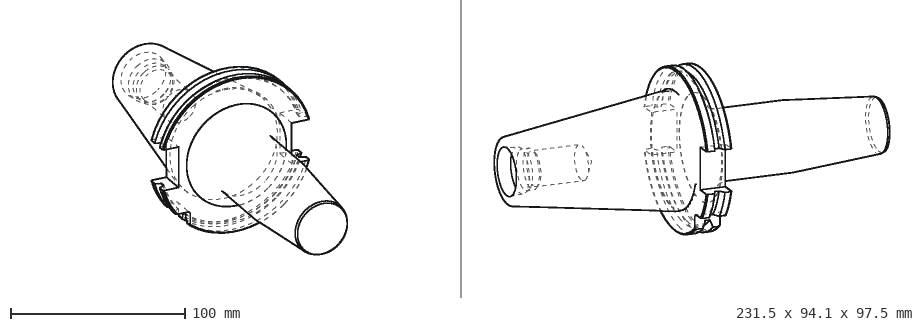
import cadquery as cq
import math

TOTAL_LENGTH = 231.5

GAUGE_X = 100.7
GAUGE_RADIUS = 34.7
TAPER_SLOPE = 7 / 48
TAIL_RADIUS = GAUGE_RADIUS - GAUGE_X * TAPER_SLOPE
TAIL_ROUNDING = 1.9
NECK_START = 102.1
NECK_RADIUS = 34.5
NECK_FILLET = 1.2

FLANGE_START = 104.7
FLANGE_END = 120.5
FLANGE_DIAMETER = 97.5
FLANGE_RADIUS = FLANGE_DIAMETER / 2
FLANGE_CHAMFER = 0.7
GROOVE_START = 109.8
GROOVE_END = 116.0
GROOVE_START_WALL = 1.5
GROOVE_END_WALL = 2.0
GROOVE_RADIUS = 45.2

COLLAR_END = 120.7
COLLAR_RADIUS = 32.0
BODY_RADIUS = 21.0
BODY_START = 133.0
BODY_FILLET_LENGTH = BODY_START - COLLAR_END
BODY_FILLET_HEIGHT = COLLAR_RADIUS - BODY_RADIUS
BODY_FILLET = (BODY_FILLET_LENGTH**2 + BODY_FILLET_HEIGHT**2) / (2 * BODY_FILLET_HEIGHT)
BODY_END = 174.6
NOSE_RADIUS = 16.7
NOSE_CHAMFER_LENGTH = 1.6
NOSE_CHAMFER_DEPTH = 0.7

SLOT_WIDTH = 25.7
SLOT_FLOOR_FRONT = 37.0
SLOT_FLOOR_BACK = 35.5
NOTCH_Y = 29.5
NOTCH_Z = 29.6
NOTCH_FILLET = 1.9

MOUTH_RADIUS = 14.4
MOUTH_TAPER_DEPTH = 2.5
COUNTERBORE_RADIUS = 13.7
COUNTERBORE_DEPTH = 8.0
LEAD_IN_END = 11.0
SEAT_RADIUS = 12.0
SEAT_DEPTH = 15.0
DRILL_RADIUS = 10.5
DRILL_DEPTH = 46.3
DRILL_POINT_ANGLE = 118
DRILL_TIP = DRILL_RADIUS / math.tan(math.radians(DRILL_POINT_ANGLE / 2))


def revolve_about_x(profile):
    return profile.close().revolve(360, (0, 0, 0), (1, 0, 0))


def make_body():
    diagonal = math.cos(math.radians(45))
    neck_arc_middle = (
        FLANGE_START - NECK_FILLET * (1 - diagonal),
        NECK_RADIUS + NECK_FILLET * (1 - diagonal),
    )
    chamfer_radius = FLANGE_RADIUS - FLANGE_CHAMFER
    tail_end_radius = TAIL_RADIUS + TAIL_ROUNDING * TAPER_SLOPE
    tail_arc_middle = (
        TAIL_ROUNDING * (1 - diagonal),
        tail_end_radius - TAIL_ROUNDING * (1 - diagonal),
    )
    profile = (
        cq.Workplane("XY")
        .lineTo(0, tail_end_radius - TAIL_ROUNDING)
        .threePointArc(tail_arc_middle, (TAIL_ROUNDING, tail_end_radius))
        .lineTo(GAUGE_X, GAUGE_RADIUS)
        .lineTo(NECK_START, GAUGE_RADIUS)
        .lineTo(FLANGE_START - NECK_FILLET, NECK_RADIUS)
        .threePointArc(neck_arc_middle, (FLANGE_START, NECK_RADIUS + NECK_FILLET))
        .lineTo(FLANGE_START, chamfer_radius)
        .lineTo(FLANGE_START + FLANGE_CHAMFER, FLANGE_RADIUS)
        .lineTo(GROOVE_START, FLANGE_RADIUS)
        .lineTo(GROOVE_START + GROOVE_START_WALL, GROOVE_RADIUS)
        .lineTo(GROOVE_END - GROOVE_END_WALL, GROOVE_RADIUS)
        .lineTo(GROOVE_END, FLANGE_RADIUS)
        .lineTo(FLANGE_END - FLANGE_CHAMFER, FLANGE_RADIUS)
        .lineTo(FLANGE_END, chamfer_radius)
        .lineTo(FLANGE_END, COLLAR_RADIUS)
        .lineTo(COLLAR_END, COLLAR_RADIUS)
        .radiusArc((BODY_START, BODY_RADIUS), -BODY_FILLET)
        .lineTo(BODY_END, BODY_RADIUS)
        .lineTo(TOTAL_LENGTH - NOSE_CHAMFER_LENGTH, NOSE_RADIUS)
        .lineTo(TOTAL_LENGTH, NOSE_RADIUS - NOSE_CHAMFER_DEPTH)
        .lineTo(TOTAL_LENGTH, 0)
    )
    return revolve_about_x(profile)


def make_bore():
    profile = (
        cq.Workplane("XY")
        .lineTo(0, MOUTH_RADIUS)
        .lineTo(MOUTH_TAPER_DEPTH, COUNTERBORE_RADIUS)
        .lineTo(COUNTERBORE_DEPTH, COUNTERBORE_RADIUS)
        .lineTo(LEAD_IN_END, SEAT_RADIUS)
        .lineTo(SEAT_DEPTH, SEAT_RADIUS)
        .lineTo(SEAT_DEPTH + SEAT_RADIUS - DRILL_RADIUS, DRILL_RADIUS)
        .lineTo(DRILL_DEPTH, DRILL_RADIUS)
        .lineTo(DRILL_DEPTH + DRILL_TIP, 0)
    )
    return revolve_about_x(profile)


def make_flange_cutter(y_inner, z_inner, y_size, z_size):
    """Box through the flange thickness, growing from an inner corner by signed sizes."""
    return (
        cq.Workplane("YZ", origin=(FLANGE_START, 0, 0))
        .center(y_inner + y_size / 2, z_inner + z_size / 2)
        .rect(abs(y_size), abs(z_size))
        .extrude(FLANGE_END - FLANGE_START)
    )


def make_notch():
    corner = make_flange_cutter(-NOTCH_Y, -NOTCH_Z, -FLANGE_RADIUS, -FLANGE_RADIUS)
    return corner.edges("|X and >Y and >Z").fillet(NOTCH_FILLET)


result = (
    make_body()
    .cut(make_bore())
    .cut(make_flange_cutter(-SLOT_FLOOR_FRONT, -SLOT_WIDTH / 2, -FLANGE_RADIUS, SLOT_WIDTH))
    .cut(make_flange_cutter(SLOT_FLOOR_BACK, -SLOT_WIDTH / 2, FLANGE_RADIUS, SLOT_WIDTH))
    .cut(make_notch())
)